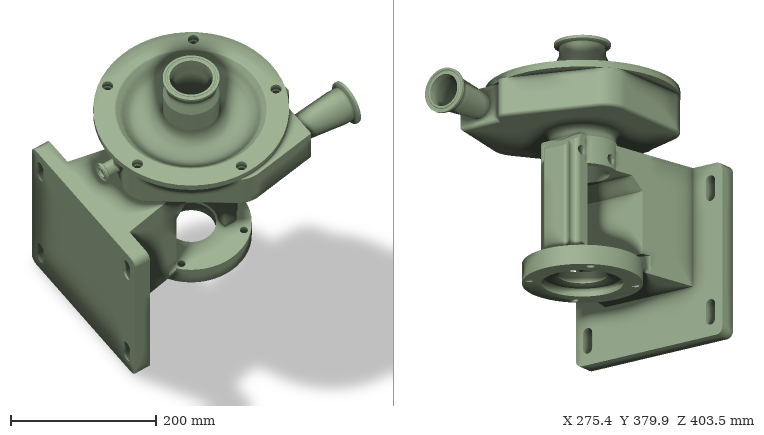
import cadquery as cq
import math


overall_height = 403.5
flange_top = 334.5
flange_thickness = 9.5
housing_top = flange_top - flange_thickness
housing_bottom = 270.0
neck_bottom = 254.0
outlet_height = 300.0
drain_height = 300.5
plate_size = 250.0
head_bottom = 214.0
ring_top = 83.0
ring_bottom = 55.3

flange_radius = 134.97
bolt_count = 5
bolt_spacing = 360 / bolt_count
bolt_circle_radius = 122.0
clearance_radius = 7.5
tapped_radius = 5.0
tapped_depth = 24.2
drill_tip_angle = 118.0
recess_depth = 15.0
recess_floor = flange_top - recess_depth
recess_floor_radius = 82.7
recess_rim_radius = 106.0
recess_floor_fillet = 16.5
recess_rim_fillet = 4.0

housing_apothem = 115.5
housing_corner_radius = housing_apothem / math.cos(math.pi / bolt_count)
housing_fillet = 34.3
upper_corner_fillet = 10.5
lug_tip_fillet = 42.0
housing_bottom_fillet = 4.5
lug_x = 123.0
lug_y = 116.0

rim_thickness = 4.0
rim_bevel = 2.0
gasket_groove_width = 3.2
gasket_groove_depth = 1.2

inlet_rim_radius = 39.0
inlet_pipe_radius = 32.3
inlet_bore_radius = 30.0
inlet_body_radius = 39.0
inlet_cone_top = 385.5
inlet_cone_bottom = 370.5
inlet_foot_fillet = 14.5

outlet_x = 90.0
outlet_end_y = 199.95
outlet_rim_radius = 32.08
outlet_pipe_radius = 25.5
outlet_small_radius = 19.15
outlet_foot_radius = 17.5
outlet_wall = 2.5
outlet_straight_length = 20.5
outlet_foot_length = 2.0

drain_end_y = -150.5
drain_rim_radius = 13.5
drain_pipe_radius = 10.0
drain_bore_radius = 7.3
drain_bore_depth = 29.0

neck_radius = 47.0
neck_fillet = 8.0
head_radius = 49.0
bracket_bore_radius = 37.5
head_hole_diameter = 14.5
head_hole_height = 226.0

post_inner_y = 32.5
post_step_y = 56.0
post_outer_y = 65.5
post_half_width = 33.0
post_corner_fillet = 7.0
rib_half_width = 20.0
rib_fillet = 4.5
post_chamfer = 18.0
post_hole_diameter = 13.7
post_hole_y = 47.0
post_hole_height = 230.0

ring_radius = 83.5
ring_bore_radius = 34.3
ring_spigot_radius = 56.5
ring_spigot_depth = 11.5
ring_hole_circle_radius = 74.0
ring_hole_count = 4
ring_first_hole_angle = 45.0
ring_hole_diameter = 11.3

plate_back_y = -180.0
plate_thickness = 25.0
plate_front_y = plate_back_y + plate_thickness
plate_corner_radius = 10.0
slot_length = 37.0
slot_width = 15.7
slot_spacing_x = 210.0
slot_spacing_z = 180.0

arm_inner_half_width = 47.0
arm_outer_half_width = 75.0
arm_inner_y = -15.5
arm_face_y = -63.5
arm_bottom = 78.0
arm_chamfer = 18.5
arm_taper = (arm_outer_half_width - arm_inner_half_width) / (arm_inner_y - plate_front_y)
notch_top = 104.5
notch_depth = 14.5
notch_width = 28.2


def cylinder(radius, bottom, top):
    return cq.Workplane("XY").workplane(offset=bottom).circle(radius).extrude(top - bottom)


def revolve_profile(profile):
    """Close an XZ profile and turn it about the Z axis."""
    return profile.close().revolve(360, (0, 0, 0), (0, 1, 0))


def place_along_y(solid, x, z):
    """Lay a solid built along +Z down along +Y at the given X and Z."""
    return solid.rotate((0, 0, 0), (1, 0, 0), -90).translate((x, 0, z))


def place_along_minus_y(solid, y, z):
    """Turn a solid built along +Z to point along -Y from the given Y and Z."""
    return solid.rotate((0, 0, 0), (1, 0, 0), 90).translate((0, y, z))


def ferrule(rim_radius, pipe_radius, bore_radius, end):
    """Clamp rim with a bevelled back and a gasket groove in its end face."""
    rim_back = end - rim_thickness
    bevel_end = rim_back - rim_bevel
    rim = revolve_profile(
        cq.Workplane("XZ")
        .moveTo(0, end)
        .lineTo(rim_radius, end)
        .lineTo(rim_radius, rim_back)
        .lineTo(pipe_radius, bevel_end)
        .lineTo(0, bevel_end)
    )
    groove_radius = (bore_radius + rim_radius) / 2
    groove_inner = groove_radius - gasket_groove_width / 2
    groove_outer = groove_radius + gasket_groove_width / 2
    groove = revolve_profile(
        cq.Workplane("XZ")
        .moveTo(groove_inner, end)
        .threePointArc((groove_radius, end - gasket_groove_depth), (groove_outer, end))
    )
    return rim.cut(groove)


def make_housing():
    """Rounded five-sided block with a lug that carries the outlet."""
    def corner(index):
        angle = math.radians(index * bolt_spacing)
        return housing_corner_radius * math.cos(angle), housing_corner_radius * math.sin(angle)

    half_step = math.radians(bolt_spacing / 2)
    lug_start_x = (housing_apothem - lug_y * math.sin(half_step)) / math.cos(half_step)
    outline = [corner(index) for index in range(1, bolt_count + 1)]
    outline += [(lug_x, lug_y), (lug_start_x, lug_y)]
    height = housing_top - housing_bottom
    housing = cq.Workplane("XY").workplane(offset=housing_bottom).polyline(outline).close().extrude(height)

    corner_fillets = [lug_tip_fillet, upper_corner_fillet] + [housing_fillet] * (bolt_count - 2)
    middle = (housing_top + housing_bottom) / 2
    for index, radius in enumerate(corner_fillets):
        edge = cq.selectors.NearestToPointSelector((*corner(index), middle))
        housing = housing.edges("|Z").edges(edge).fillet(radius)
    return housing.faces("<Z").edges().fillet(housing_bottom_fillet)


def make_recess():
    """Dish with 45 degree walls, a rounded rim and a rounded floor."""
    wall_angle = math.radians(45)

    def arc_points(start_x, start_z, radius, side):
        """Middle and end of a 45 degree arc leaving a level surface."""
        points = []
        for angle in (wall_angle / 2, wall_angle):
            x = start_x + side * radius * math.sin(angle)
            z = start_z + side * radius * (1 - math.cos(angle))
            points.append((x, z))
        return points

    floor_mid, floor_end = arc_points(recess_floor_radius, recess_floor, recess_floor_fillet, 1)
    rim_mid, rim_end = arc_points(recess_rim_radius, flange_top, recess_rim_fillet, -1)
    return revolve_profile(
        cq.Workplane("XZ")
        .moveTo(0, recess_floor)
        .lineTo(recess_floor_radius, recess_floor)
        .threePointArc(floor_mid, floor_end)
        .lineTo(*rim_end)
        .threePointArc(rim_mid, (recess_rim_radius, flange_top))
        .lineTo(0, flange_top)
    )


def make_inlet():
    foot_outer = inlet_body_radius + inlet_foot_fillet
    foot_top = recess_floor + inlet_foot_fillet
    arc_offset = inlet_foot_fillet * (1 - math.sqrt(0.5))
    pipe = revolve_profile(
        cq.Workplane("XZ")
        .moveTo(0, recess_floor)
        .lineTo(foot_outer, recess_floor)
        .threePointArc(
            (inlet_body_radius + arc_offset, recess_floor + arc_offset),
            (inlet_body_radius, foot_top),
        )
        .lineTo(inlet_body_radius, inlet_cone_bottom)
        .lineTo(inlet_pipe_radius, inlet_cone_top)
        .lineTo(inlet_pipe_radius, overall_height - rim_thickness)
        .lineTo(0, overall_height - rim_thickness)
    )
    rim = ferrule(inlet_rim_radius, inlet_pipe_radius, inlet_bore_radius, overall_height)
    bore = cylinder(inlet_bore_radius, recess_floor, overall_height)
    return pipe.union(rim).cut(bore)


def make_outlet():
    straight_start = outlet_end_y - outlet_straight_length
    cone_start = lug_y + outlet_foot_length
    bore_radius = outlet_pipe_radius - outlet_wall
    pipe = revolve_profile(
        cq.Workplane("XZ")
        .moveTo(0, lug_y)
        .lineTo(outlet_foot_radius, lug_y)
        .lineTo(outlet_foot_radius, cone_start)
        .lineTo(outlet_small_radius, cone_start)
        .lineTo(outlet_pipe_radius, straight_start)
        .lineTo(outlet_pipe_radius, outlet_end_y - rim_thickness)
        .lineTo(0, outlet_end_y - rim_thickness)
    )
    bore = revolve_profile(
        cq.Workplane("XZ")
        .moveTo(0, cone_start)
        .lineTo(outlet_small_radius - outlet_wall, cone_start)
        .lineTo(bore_radius, straight_start)
        .lineTo(bore_radius, outlet_end_y)
        .lineTo(0, outlet_end_y)
    )
    rim = ferrule(outlet_rim_radius, outlet_pipe_radius, bore_radius, outlet_end_y)
    return place_along_y(pipe.union(rim).cut(bore), outlet_x, outlet_height)


def make_drain():
    """Pipe on the -Y face, reaching in far enough to meet the whole sloping face."""
    length = -housing_apothem - drain_end_y
    pipe = cylinder(drain_pipe_radius, 0, length - rim_thickness)
    rim = ferrule(drain_rim_radius, drain_pipe_radius, drain_bore_radius, length)
    return place_along_minus_y(pipe.union(rim), -housing_apothem, drain_height)


def make_drain_bore():
    bore = cylinder(drain_bore_radius, 0, drain_bore_depth)
    return place_along_minus_y(bore, drain_end_y + drain_bore_depth, drain_height)


def make_neck():
    arc_offset = neck_fillet * (1 - math.sqrt(0.5))
    return revolve_profile(
        cq.Workplane("XZ")
        .moveTo(0, neck_bottom)
        .lineTo(neck_radius, neck_bottom)
        .lineTo(neck_radius, housing_bottom - neck_fillet)
        .threePointArc(
            (neck_radius + arc_offset, housing_bottom - arc_offset),
            (neck_radius + neck_fillet, housing_bottom),
        )
        .lineTo(0, housing_bottom)
    )


def make_post():
    """Upright with a narrower rib along its outer side and a bevelled top."""
    height = neck_bottom - ring_bottom
    base = cq.Workplane("XY").workplane(offset=ring_bottom)
    post = (
        base.center(0, (post_inner_y + post_step_y) / 2)
        .rect(2 * post_half_width, post_step_y - post_inner_y)
        .extrude(height)
        .edges("|Z and >Y")
        .fillet(post_corner_fillet)
    )
    rib = (
        base.center(0, (post_inner_y + post_outer_y) / 2)
        .rect(2 * rib_half_width, post_outer_y - post_inner_y)
        .extrude(height)
        .edges("|Z and >Y")
        .fillet(rib_fillet)
    )
    bevel = (
        cq.Workplane("YZ")
        .moveTo(post_outer_y, neck_bottom)
        .lineTo(post_outer_y, neck_bottom - post_chamfer)
        .lineTo(post_outer_y - post_chamfer, neck_bottom)
        .close()
        .extrude(post_half_width, both=True)
    )
    return post.union(rib).cut(bevel)


def make_arm():
    """Tapered block to the plate, stepped below the head and notched by the ring screws."""
    side = (
        cq.Workplane("YZ")
        .moveTo(0, plate_size)
        .lineTo(0, head_bottom)
        .lineTo(arm_face_y + arm_chamfer, head_bottom)
        .lineTo(arm_face_y, head_bottom - arm_chamfer)
        .lineTo(arm_face_y, arm_bottom)
        .lineTo(plate_front_y, arm_bottom)
        .lineTo(plate_front_y, plate_size)
        .close()
        .extrude(arm_outer_half_width, both=True)
    )
    axis_half_width = arm_inner_half_width + arm_inner_y * arm_taper
    plan = (
        cq.Workplane("XY")
        .polyline([
            (-axis_half_width, 0),
            (axis_half_width, 0),
            (arm_outer_half_width, plate_front_y),
            (-arm_outer_half_width, plate_front_y),
        ])
        .close()
        .extrude(plate_size)
    )
    arm = side.intersect(plan)
    notch_y = arm_face_y - notch_depth
    notch_x = arm_inner_half_width + arm_taper * (arm_inner_y - notch_y)
    for direction in (-1, 1):
        notch = (
            cq.Workplane("XY")
            .workplane(offset=ring_top)
            .moveTo(direction * notch_x, notch_y)
            .lineTo(direction * notch_x, arm_face_y)
            .lineTo(direction * (notch_x - notch_width), arm_face_y)
            .close()
            .extrude(notch_top - ring_top)
        )
        arm = arm.cut(notch)
    return arm


def make_plate():
    slots = [(x, z) for x in (-slot_spacing_x / 2, slot_spacing_x / 2)
             for z in (-slot_spacing_z / 2, slot_spacing_z / 2)]
    return (
        cq.Workplane("XZ", origin=(0, plate_front_y, plate_size / 2))
        .rect(plate_size, plate_size)
        .extrude(plate_thickness)
        .edges("|Y")
        .fillet(plate_corner_radius)
        .faces("<Y")
        .workplane(origin=(0, plate_back_y, plate_size / 2))
        .pushPoints(slots)
        .slot2D(slot_length, slot_width, 90)
        .cutThruAll()
    )


def make_bracket():
    head = cylinder(head_radius, head_bottom, neck_bottom)
    ring = cylinder(ring_radius, ring_bottom, ring_top)
    bracket = head.union(ring).union(make_post()).union(make_arm()).union(make_plate())

    bracket = bracket.cut(cylinder(bracket_bore_radius, ring_top, neck_bottom))
    bracket = bracket.cut(cylinder(ring_bore_radius, ring_bottom, ring_top))
    bracket = bracket.cut(cylinder(ring_spigot_radius, ring_bottom, ring_bottom + ring_spigot_depth))
    ring_holes = (
        cq.Workplane("XY")
        .workplane(offset=ring_bottom)
        .polarArray(ring_hole_circle_radius, ring_first_hole_angle, 360, ring_hole_count)
        .circle(ring_hole_diameter / 2)
        .extrude(ring_top - ring_bottom)
    )
    post_hole = (
        cq.Workplane("YZ")
        .center(post_hole_y, post_hole_height)
        .circle(post_hole_diameter / 2)
        .extrude(head_radius, both=True)
    )
    head_hole = (
        cq.Workplane("YZ")
        .center(0, head_hole_height)
        .circle(head_hole_diameter / 2)
        .extrude(-head_radius)
    )
    return bracket.cut(ring_holes).cut(post_hole).cut(head_hole)


def make_bolt_holes():
    """Clearance holes in the flange over blind, drill-tipped holes in the housing."""
    tapped_bottom = housing_top - tapped_depth
    tip_height = tapped_radius / math.tan(math.radians(drill_tip_angle / 2))
    hole = revolve_profile(
        cq.Workplane("XZ")
        .moveTo(0, tapped_bottom - tip_height)
        .lineTo(tapped_radius, tapped_bottom)
        .lineTo(tapped_radius, housing_top)
        .lineTo(clearance_radius, housing_top)
        .lineTo(clearance_radius, flange_top)
        .lineTo(0, flange_top)
    ).translate((bolt_circle_radius, 0, 0))
    holes = hole
    for index in range(1, bolt_count):
        holes = holes.union(hole.rotate((0, 0, 0), (0, 0, 1), index * bolt_spacing))
    return holes


cover = cylinder(flange_radius, housing_top, flange_top)
pump = make_housing().union(cover).cut(make_recess()).cut(make_bolt_holes())
pump = pump.union(make_inlet()).union(make_outlet())
pump = pump.union(make_drain()).cut(make_drain_bore()).union(make_neck())
result = pump.union(make_bracket())